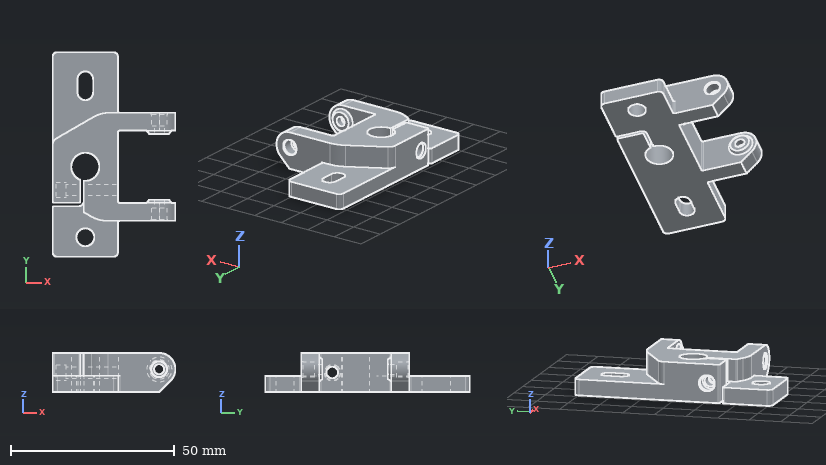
import cadquery as cq
import math


plate_half_width = 10.0
plate_front = -27.5
plate_back = 35.0
plate_thickness = 5.0
plate_corner_radius = 1.5

height = 12.0
arm_outer_y = 16.5
arm_inner_y = 11.0
shoulder_radius = 10.0
shoulder_angle = math.radians(30)
front_shoulder_end_x = 6.8
back_shoulder_end_x = 7.44
shoulder_back_radius = 2.5
small_radius = 0.5

pivot_x = 22.5
pivot_z = 7.0
tip_radius = 5.0
pivot_diameter = 3.0
pivot_seat_depth = 4.0
pivot_mouth_depth = 0.5
boss_base_diameter = 7.6
boss_face_diameter = 6.0
boss_height = 1.0

shaft_diameter = 8.5
slit_width = 1.0
slit_right = -0.5
slit_left = slit_right - slit_width
slit_back = -arm_inner_y
slit_front = slit_back - slit_width
clamp_y = -7.0
clamp_z = 6.0
clamp_diameter = 3.5
clamp_seat_depth = 4.0
clamp_mouth_depth = 1.0

seat_diameter = 4.7
seat_mouth_diameter = 5.0

mount_hole_y = -21.5
mount_hole_diameter = 5.4
slot_y = 24.7
slot_length = 8.7
slot_width = 4.7


def vertical_edges(body, x, y):
    """Select the vertical edges that pass through (x, y)."""
    reach = 0.01
    corner_low = (x - reach, y - reach, -reach)
    corner_high = (x + reach, y + reach, height + reach)
    return body.edges("|Z").edges(cq.selectors.BoxSelector(corner_low, corner_high, boundingbox=True))


def make_plate():
    """Flat base plate with rounded corners."""
    plate = cq.Workplane("XY").box(
        2 * plate_half_width, plate_back - plate_front, plate_thickness, centered=(True, False, False)
    )
    return plate.translate((0, plate_front, 0)).edges("|Z").fillet(plate_corner_radius)


def make_clamp_block():
    """Block with two arms; each outer shoulder is a sloping line blended by an arc into the arm."""
    tip_x = pivot_x + tip_radius
    slope = math.tan(shoulder_angle)
    start_run = shoulder_radius * math.sin(shoulder_angle)
    start_y = arm_outer_y - shoulder_radius * (1 - math.cos(shoulder_angle))
    middle_run = shoulder_radius * math.sin(shoulder_angle / 2)
    middle_y = arm_outer_y - shoulder_radius * (1 - math.cos(shoulder_angle / 2))
    front_start_x = front_shoulder_end_x - start_run
    back_start_x = back_shoulder_end_x - start_run
    front_corner_y = -start_y + slope * (front_start_x - slit_right)
    back_corner_y = start_y - slope * (back_start_x + plate_half_width)

    block = (
        cq.Workplane("XY")
        .moveTo(-plate_half_width, slit_back)
        .lineTo(slit_right, slit_back)
        .lineTo(slit_right, front_corner_y)
        .lineTo(front_start_x, -start_y)
        .threePointArc((front_shoulder_end_x - middle_run, -middle_y), (front_shoulder_end_x, -arm_outer_y))
        .lineTo(tip_x, -arm_outer_y)
        .lineTo(tip_x, -arm_inner_y)
        .lineTo(plate_half_width, -arm_inner_y)
        .lineTo(plate_half_width, arm_inner_y)
        .lineTo(tip_x, arm_inner_y)
        .lineTo(tip_x, arm_outer_y)
        .lineTo(back_shoulder_end_x, arm_outer_y)
        .threePointArc((back_shoulder_end_x - middle_run, middle_y), (back_start_x, start_y))
        .lineTo(-plate_half_width, back_corner_y)
        .close()
        .extrude(height)
    )
    block = vertical_edges(block, -plate_half_width, back_corner_y).fillet(shoulder_back_radius)
    block = vertical_edges(block, slit_right, front_corner_y).fillet(small_radius)
    for y in (-arm_inner_y, arm_inner_y):
        block = vertical_edges(block, plate_half_width, y).fillet(small_radius)
    return block.intersect(make_side_profile())


def make_side_profile():
    """Solid with the side outline: rounded tips that run at 45 degrees down to the underside."""
    diagonal = tip_radius * math.sin(math.radians(45))
    tangent_x = pivot_x + diagonal
    tangent_z = pivot_z - diagonal
    return (
        cq.Workplane("XZ")
        .moveTo(-plate_half_width, 0)
        .lineTo(tangent_x - tangent_z, 0)
        .lineTo(tangent_x, tangent_z)
        .threePointArc((pivot_x + tip_radius, pivot_z), (pivot_x, height))
        .lineTo(-plate_half_width, height)
        .close()
        .extrude(arm_outer_y, both=True)
    )


def make_slit():
    """L-shaped slit from the shaft bore to the -X side, with a rounded outer corner."""
    slit = (
        cq.Workplane("XY")
        .moveTo(slit_right, 0)
        .lineTo(slit_right, slit_front)
        .lineTo(-plate_half_width, slit_front)
        .lineTo(-plate_half_width, slit_back)
        .lineTo(slit_left, slit_back)
        .lineTo(slit_left, 0)
        .close()
        .extrude(height)
    )
    slit = vertical_edges(slit, slit_right, slit_front).fillet(small_radius + slit_width)
    return vertical_edges(slit, slit_left, slit_back).fillet(small_radius)


def make_screw_hole(diameter, length, seat_depth, mouth_depth):
    """Cutter along +Z: shallow wide mouth, screw seat, then a through hole."""
    hole = cq.Workplane("XY").circle(diameter / 2).extrude(length)
    seat = cq.Workplane("XY").circle(seat_diameter / 2).extrude(seat_depth)
    mouth = cq.Workplane("XY").circle(seat_mouth_diameter / 2).extrude(mouth_depth)
    return hole.union(seat).union(mouth)


def make_boss():
    """Conical boss on the inner face of the -Y arm."""
    return (
        cq.Workplane("XZ", origin=(pivot_x, -arm_inner_y, pivot_z))
        .circle(boss_base_diameter / 2)
        .workplane(offset=-boss_height)
        .circle(boss_face_diameter / 2)
        .loft()
    )


def add_pivots(body):
    """Matching boss and screw hole in both arms, seats opening outward."""
    boss = make_boss()
    hole_length = arm_outer_y - arm_inner_y + boss_height
    hole = make_screw_hole(pivot_diameter, hole_length, pivot_seat_depth, pivot_mouth_depth)
    hole = hole.rotate((0, 0, 0), (1, 0, 0), -90).translate((pivot_x, -arm_outer_y, pivot_z))
    body = body.union(boss).union(boss.mirror("XZ"))
    return body.cut(hole).cut(hole.mirror("XZ"))


def cut_clamp(body):
    """Shaft bore, slit and the screw hole that runs along X across the slit."""
    bore = cq.Workplane("XY").circle(shaft_diameter / 2).extrude(height)
    screw = make_screw_hole(clamp_diameter, 2 * plate_half_width, clamp_seat_depth, clamp_mouth_depth)
    screw = screw.rotate((0, 0, 0), (0, 1, 0), 90).translate((-plate_half_width, clamp_y, clamp_z))
    body = body.cut(make_slit()).cut(bore)
    for y in (slit_front, slit_back):
        body = vertical_edges(body, -plate_half_width, y).fillet(small_radius)
    return body.cut(screw)


def cut_mounting_holes(body):
    """Round hole at the front and a slot along Y at the back of the plate."""
    round_hole = (
        cq.Workplane("XY").center(0, mount_hole_y).circle(mount_hole_diameter / 2).extrude(plate_thickness)
    )
    slot = cq.Workplane("XY").center(0, slot_y).slot2D(slot_length, slot_width, 90).extrude(plate_thickness)
    return body.cut(round_hole).cut(slot)


body = make_plate().union(make_clamp_block())
for side_y in (-arm_outer_y, arm_outer_y):
    body = vertical_edges(body, plate_half_width, side_y).fillet(small_radius)
body = cut_clamp(body)
body = add_pivots(body)
result = cut_mounting_holes(body)